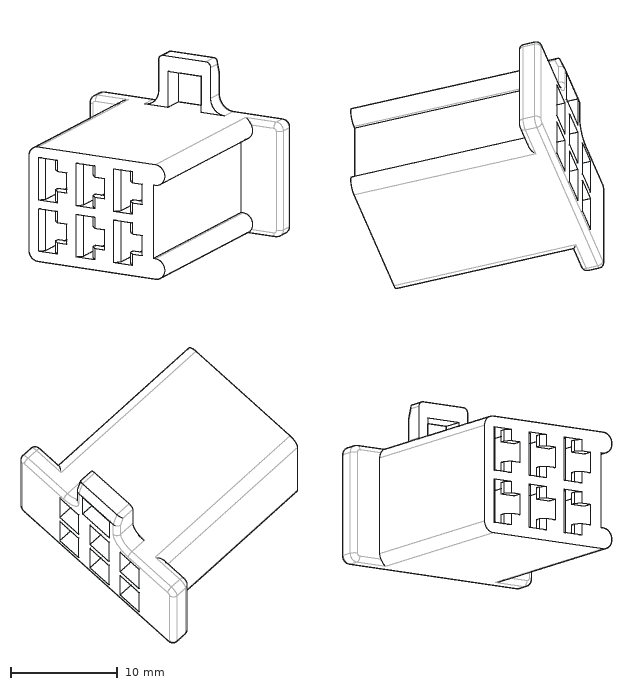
import cadquery as cq
import math

overall_length = 19.5

flange_width = 20.5
flange_height = 11.2
flange_thickness = 2.11
flange_corner_radius = 0.75
rim_radius = 0.5
flange_front = overall_length - flange_thickness

body_half_width = 7.24
body_corner_radius = 1.0
channel_floor = 6.0

loop_half_width = 2.77
loop_rise = 5.0
loop_corner_radius = 0.5
loop_root_radius = 1.5
window_half_width = 1.76
window_height = 3.5
lead_in_depth = 0.5
lead_in_height = 1.4
loop_top = flange_height + loop_rise

columns = 3
rows = 2
column_pitch = 4.0
row_pitch = 5.0
first_cavity_left = -6.2
cavity_width = 3.0
cavity_height = 4.15
mouth_width = 2.0
mouth_chamfer = 0.5
throat_height = 1.97
stop_thickness = 1.0


def slab(profile, front, back):
    """Extrude an XZ profile from Y = front to Y = back."""
    return profile.extrude(front - back).translate((0, front, 0))


def arc_inset(radius):
    """Distance along each side from a square corner to the middle of its quarter arc."""
    return radius * (1 - math.sqrt(0.5))


def make_flange():
    """Rounded plate at the rear end with every rim edge rounded over."""
    plate = cq.Workplane("XY").box(
        flange_width, flange_thickness, flange_height, centered=(True, False, False)
    )
    plate = plate.edges("|Y").fillet(flange_corner_radius)
    plate = plate.faces("<Y or >Y").edges().fillet(rim_radius)
    return plate.translate((0, flange_front, 0))


def make_body():
    """Long housing whose +X side has a channel between two half-round rails."""
    r = body_corner_radius
    diagonal = arc_inset(r)
    left = -body_half_width
    right = body_half_width
    top = flange_height
    profile = (
        cq.Workplane("XZ")
        .moveTo(left + r, 0)
        .lineTo(right - r, 0)
        .threePointArc((right, r), (right - r, 2 * r))
        .lineTo(channel_floor, 2 * r)
        .lineTo(channel_floor, top - 2 * r)
        .lineTo(right - r, top - 2 * r)
        .threePointArc((right, top - r), (right - r, top))
        .lineTo(left + r, top)
        .threePointArc((left + diagonal, top - diagonal), (left, top - r))
        .lineTo(left, r)
        .threePointArc((left + diagonal, diagonal), (left + r, 0))
        .close()
    )
    return slab(profile, 0, overall_length - rim_radius)


def make_latch_loop():
    """Loop with flared roots, a sloped lead-in at the rear and a square window."""
    r = loop_root_radius
    diagonal = arc_inset(r)
    foot = loop_half_width + r
    base = flange_height / 2
    root_top = flange_height + r
    profile = (
        cq.Workplane("XZ")
        .moveTo(-foot, base)
        .lineTo(foot, base)
        .lineTo(foot, flange_height)
        .threePointArc(
            (loop_half_width + diagonal, flange_height + diagonal), (loop_half_width, root_top)
        )
        .lineTo(loop_half_width, loop_top)
        .lineTo(-loop_half_width, loop_top)
        .lineTo(-loop_half_width, root_top)
        .threePointArc((-loop_half_width - diagonal, flange_height + diagonal), (-foot, flange_height))
        .close()
    )
    loop = slab(profile, flange_front, overall_length)

    lead_in = (
        cq.Workplane("YZ")
        .moveTo(overall_length, loop_top - lead_in_height)
        .lineTo(overall_length, loop_top)
        .lineTo(overall_length - lead_in_depth, loop_top)
        .close()
        .extrude(loop_half_width, both=True)
    )
    loop = loop.cut(lead_in)

    rear_zone = cq.selectors.BoxSelector(
        (-foot, overall_length - lead_in_depth, flange_height),
        (foot, overall_length + rim_radius, loop_top),
    )
    loop = loop.edges(rear_zone).edges("not |X").fillet(rim_radius)

    tip = cq.Workplane("XY").box(
        2 * loop_half_width, flange_thickness, loop_rise, centered=(True, False, False)
    )
    corner_waste = tip.cut(tip.edges("|Y").edges(">Z").fillet(loop_corner_radius))
    loop = loop.cut(corner_waste.translate((0, flange_front, flange_height)))

    window = cq.Workplane("XY").box(
        2 * window_half_width, overall_length, window_height, centered=(True, False, False)
    )
    return loop.cut(window.translate((0, flange_front, flange_height)))


def make_cavity():
    """Through cavity, left mouth edge at X = 0 and mid-height at Z = 0."""
    inner_left = mouth_chamfer
    mouth = (
        cq.Workplane("XY")
        .lineTo(mouth_width, 0)
        .lineTo(mouth_width - mouth_chamfer, mouth_chamfer)
        .lineTo(mouth_width - mouth_chamfer, stop_thickness)
        .lineTo(inner_left, stop_thickness)
        .lineTo(inner_left, mouth_chamfer)
        .close()
        .extrude(cavity_height / 2, both=True)
    )
    inner_width = cavity_width - inner_left
    throat = cq.Workplane("XY").box(
        inner_width, overall_length, throat_height, centered=(False, False, True)
    )
    chamber = cq.Workplane("XY").box(
        inner_width, overall_length, cavity_height, centered=(False, False, True)
    )
    return (
        mouth
        .union(throat.translate((inner_left, 0, 0)))
        .union(chamber.translate((inner_left, stop_thickness, 0)))
    )


result = make_flange().union(make_body()).union(make_latch_loop())

cavity = make_cavity()
for column in range(columns):
    for row in range(rows):
        x = first_cavity_left + column * column_pitch
        z = flange_height / 2 + (row - (rows - 1) / 2) * row_pitch
        result = result.cut(cavity.translate((x, 0, z)))